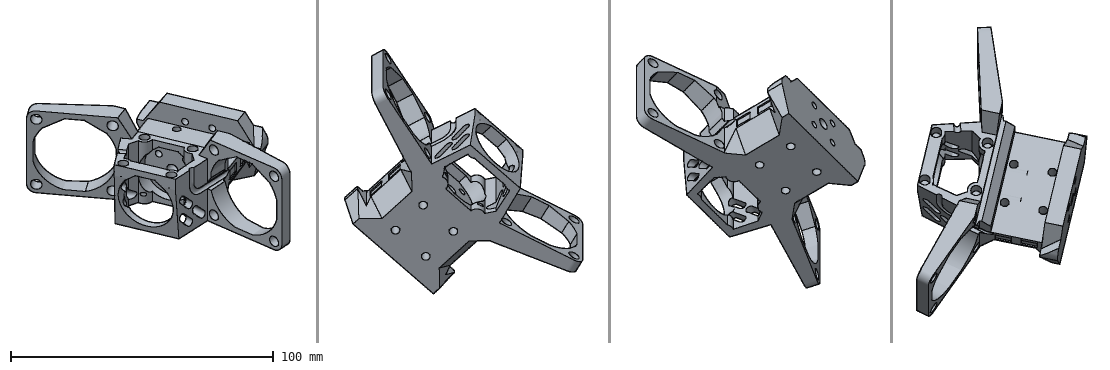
import cadquery as cq
import math


HALF_WIDTH = 54.5
FRONT_Y = -57.5
FAN_SIZE = 37.0

ARM_ANGLE = 15.0
ARM_TIP_THICKNESS = 5.0
ARM_ROOT_X = 13.9
ARM_SLANT_TOP_X = 19.2
FAN_CENTER_Y = -44.0
FAN_HOLE_PITCH = 29.4
FAN_HOLE_RADIUS = 2.2
FAN_BORE_RADIUS = 16.5
ARM_CUT_DEPTH = 13.1
FAN_BORE_FLAT = 16.0
FAN_BORE_ROOF_HALF = 3.8
FAN_BORE_ROOF_FOOT = 12.4

BASE_HALF = 21.1
BASE_TOP = 17.1
WALL_BACK_Y = -27.0
WALL_TOP = 26.0
WALL_CHAMFER_RISE = 3.3
WALL_CHAMFER_RUN = 3.5
SHOULDER_Y = -31.4
STEP_Y = -32.6
BASE_SCREW_X = 8.1
BASE_SCREW_BACK_Y = -9.5
BASE_SCREW_FRONT_Y = -24.5
BASE_SCREW_RADIUS = 1.6

UNDERCUT_TOP = 10.2
UNDERCUT_SLOPE = math.tan(math.radians(30))
UNDERCUT_BACK_Y = -9.5
UNDERCUT_FRONT_Y = -25.7
UNDERCUT_OVERRUN = 1.1

WINDOW_LENGTH = 6.3
WINDOW_HEIGHT = 4.0
WINDOW_DEPTH = 0.5
WINDOW_Z = 13.2
WINDOW_YS = (-12.1, -22.2)

PLATE_THICKNESS = 7.0
PLATE_HALF = 25.8
PLATE_TOP = 25.7
PLATE_TOP_HALF = 16.2
PLATE_SLOPE_FOOT = 23.1
PLATE_BOTTOM_HALF = 21.5
EAR_TOP = 20.6
EAR_FRONT_TOP = 15.6
EAR_TOP_HALF = 23.4
EAR_LOWER_BEVEL = (-25.3, 12.5)
EAR_SIDE_BOTTOM = 13.8
EAR_SIDE_TOP = 15.5
EAR_ARC_MID = (-25.5, 17.0)
EAR_ARC_END = (-24.7, 18.4)

BOX_TOP = 28.0
BOX_CORNER_X = 18.1
BOX_FRONT_HALF = 12.7
DRAFT_TOP = 23.0
DRAFT_DEPTH = 2.0
CAVITY_BACK_Y = -35.5
CAVITY_FRONT_Y = -52.5
CAVITY_FRONT_HALF = 11.0
CAVITY_BEVEL_START = (-11.3, -38.5)
CAVITY_BEVEL_END = (-13.6, -42.0)
BOX_SCREW_X = 10.0
BOX_SCREW_BACK_Y = -35.2
BOX_SCREW_FRONT_Y = -55.2
BOX_SCREW_RADIUS = 2.1
BOX_SCREW_TIP_RADIUS = 1.9
BOX_SCREW_DEPTH = 4.9
BOX_BOSS_RADIUS = 3.4

MOTOR_Z = 13.9
MOTOR_RADIUS = 11.4
MOTOR_ROOF_HEIGHT = 11.3
MOTOR_ROOF_HALF = 4.0
MOTOR_SEAT_Y = -31.7
SHAFT_RADIUS = 2.3
MOTOR_SCREW_OFFSET = 5.7
MOTOR_SCREW_RADIUS = 1.4
HEAD_RADIUS = 2.6
HEAD_CLEARANCE_Y = -18.7

VENT_WIDTH = 3.2
VENT_LENGTH = 9.4
VENT_ANGLE = 45.0
VENT_CENTERS = ((-51.5, 14.5), (-51.5, 6.5), (-44.3, 6.5))
VENT_DEPTH = 10.9
NOTCH_DEPTH = 3.9
GROOVE_RADIUS = 1.3
GROOVE_Y = -48.4
GROOVE_Z = 15.8
GROOVE_BEND = 5.4
GROOVE_OFFSET = 0.4
GROOVE_END_Y = -24.0
RELIEF_FRONT_Y = -41.4
RELIEF_TOP = 20.5
RELIEF_FOOT = 17.4
RELIEF_WIDTH = 3.8
RELIEF_RUN = 2.0

COS_ARM = math.cos(math.radians(ARM_ANGLE))
SIN_ARM = math.sin(math.radians(ARM_ANGLE))
FAN_CENTER_X = HALF_WIDTH - FAN_SIZE / 2 * COS_ARM - ARM_TIP_THICKNESS * SIN_ARM
FAN_CENTER_Z = FAN_SIZE / 2
CORNER_RADIUS = (FAN_SIZE - FAN_HOLE_PITCH) / 2
LONG = 108.9


def arm_front_y(x):
    """Y of an arm's front face at distance x from the middle."""
    return FAN_CENTER_Y + (FAN_CENTER_X - x) * SIN_ARM / COS_ARM


BOX_CORNER_Y = arm_front_y(BOX_CORNER_X)
SIDE_SLOPE = (BOX_CORNER_X - BOX_FRONT_HALF) / (BOX_CORNER_Y - FRONT_Y)
SIDE_ANGLE = math.atan(SIDE_SLOPE)


def box_side_x(y):
    """Half width between the flat sides of the motor box at a given Y."""
    return BOX_FRONT_HALF + (y - FRONT_Y) * SIDE_SLOPE


def mirrored(points):
    """Close a left-hand chain of points with its mirror image across X = 0."""
    return points + [(-x, y) for x, y in reversed(points)]


def both_sides(left):
    return left.union(left.mirror("YZ"))


def plan(points, bottom, top):
    """Prism with a plan outline between two heights."""
    return cq.Workplane("XY", (0, 0, bottom)).polyline(points).close().extrude(top - bottom)


def post(x, y, radius, bottom, top):
    return cq.Workplane("XY", (x, y, bottom)).circle(radius).extrude(top - bottom)


def rod(x, z, radius, front_y, back_y):
    """Cylinder along Y."""
    return cq.Workplane("XZ", (x, back_y, z)).circle(radius).extrude(back_y - front_y)


def back_plate():
    middle = cq.Workplane("XZ").polyline(
        mirrored(
            [
                (-PLATE_BOTTOM_HALF, 0),
                (-PLATE_SLOPE_FOOT, EAR_FRONT_TOP),
                (-PLATE_TOP_HALF, PLATE_TOP),
            ]
        )
    ).close().extrude(PLATE_THICKNESS)
    ear = (
        cq.Workplane("XZ")
        .moveTo(0, 0)
        .lineTo(-PLATE_BOTTOM_HALF, 0)
        .lineTo(*EAR_LOWER_BEVEL)
        .lineTo(-PLATE_HALF, EAR_SIDE_BOTTOM)
        .lineTo(-PLATE_HALF, EAR_SIDE_TOP)
        .threePointArc(EAR_ARC_MID, EAR_ARC_END)
        .lineTo(-EAR_TOP_HALF, EAR_TOP)
        .lineTo(0, EAR_TOP)
        .close()
        .extrude(PLATE_THICKNESS)
    )
    sloped_top = (
        cq.Workplane("YZ", (-PLATE_HALF, 0, 0))
        .polyline([(0, 0), (0, EAR_TOP), (-PLATE_THICKNESS, EAR_FRONT_TOP), (-PLATE_THICKNESS, 0)])
        .close()
        .extrude(PLATE_HALF)
    )
    return middle.union(both_sides(ear.intersect(sloped_top)))


def base_and_wall():
    profile = [
        (0, 0),
        (0, BASE_TOP),
        (WALL_BACK_Y, BASE_TOP),
        (WALL_BACK_Y, WALL_TOP - WALL_CHAMFER_RISE),
        (WALL_BACK_Y - WALL_CHAMFER_RUN, WALL_TOP),
        (STEP_Y, WALL_TOP),
        (STEP_Y, 0),
    ]
    return cq.Workplane("YZ", (-BASE_HALF, 0, 0)).polyline(profile).close().extrude(2 * BASE_HALF)


def side_undercut():
    """Left undercut: an overhanging inner face with 45 degree flares at both ends."""
    outer_x = -PLATE_HALF - UNDERCUT_OVERRUN

    def section(z):
        inner_x = -BASE_HALF + (UNDERCUT_TOP - z) * UNDERCUT_SLOPE
        flare = inner_x - outer_x
        return [
            (inner_x, UNDERCUT_BACK_Y),
            (inner_x, UNDERCUT_FRONT_Y),
            (outer_x, UNDERCUT_FRONT_Y - flare),
            (outer_x, UNDERCUT_BACK_Y + flare),
        ]

    return (
        cq.Workplane("XY")
        .polyline(section(0))
        .close()
        .workplane(offset=BASE_TOP)
        .polyline(section(BASE_TOP))
        .close()
        .loft(ruled=True)
    )


def side_windows():
    windows = cq.Workplane("XY")
    for y in WINDOW_YS:
        for side in (-1, 1):
            windows = windows.union(
                cq.Workplane("XY")
                .box(2 * WINDOW_DEPTH, WINDOW_LENGTH, WINDOW_HEIGHT)
                .translate((side * BASE_HALF, y, WINDOW_Z))
            )
    return windows


def fan_plane():
    """Plane of the left fan face, centred on the fan, normal pointing forward."""
    return cq.Plane(
        origin=(-FAN_CENTER_X, FAN_CENTER_Y, FAN_CENTER_Z),
        xDir=(COS_ARM, SIN_ARM, 0),
        normal=(SIN_ARM, -COS_ARM, 0),
    )


def fan_bore():
    flat = FAN_BORE_FLAT
    end = math.sqrt(FAN_BORE_RADIUS**2 - flat**2)
    foot = FAN_BORE_ROOF_FOOT
    foot_z = math.sqrt(FAN_BORE_RADIUS**2 - foot**2)
    upper = (math.atan2(foot_z, foot) + math.atan2(end, flat)) / 2
    lower = math.radians(-45)

    def on_circle(angle, side):
        return (side * FAN_BORE_RADIUS * math.cos(angle), FAN_BORE_RADIUS * math.sin(angle))

    return (
        cq.Workplane(fan_plane())
        .moveTo(-FAN_BORE_ROOF_HALF, flat)
        .lineTo(FAN_BORE_ROOF_HALF, flat)
        .lineTo(foot, foot_z)
        .threePointArc(on_circle(upper, 1), (flat, end))
        .lineTo(flat, -end)
        .threePointArc(on_circle(lower, 1), (end, -flat))
        .lineTo(-end, -flat)
        .threePointArc(on_circle(lower, -1), (-flat, -end))
        .lineTo(-flat, end)
        .threePointArc(on_circle(upper, -1), (-foot, foot_z))
        .close()
        .extrude(-ARM_CUT_DEPTH, both=True)
    )


def arm_body():
    tip_x = -FAN_CENTER_X - FAN_SIZE / 2 * COS_ARM
    tip_y = FAN_CENTER_Y - FAN_SIZE / 2 * SIN_ARM
    body = plan(
        [
            (-ARM_ROOT_X, SHOULDER_Y),
            (-BASE_HALF, SHOULDER_Y),
            (tip_x - ARM_TIP_THICKNESS * SIN_ARM, tip_y + ARM_TIP_THICKNESS * COS_ARM),
            (tip_x, tip_y),
            (-ARM_ROOT_X, arm_front_y(ARM_ROOT_X)),
        ],
        0,
        FAN_SIZE,
    )
    frame = (
        cq.Workplane(fan_plane())
        .rect(FAN_SIZE, FAN_SIZE)
        .extrude(LONG, both=True)
        .edges(cq.selectors.ParallelDirSelector(fan_plane().zDir))
        .fillet(CORNER_RADIUS)
    )
    inner = (
        cq.Workplane(fan_plane())
        .center(FAN_SIZE / 2, 0)
        .rect(FAN_SIZE, FAN_SIZE)
        .extrude(LONG, both=True)
    )
    slant = (
        cq.Workplane("XZ")
        .polyline([(-ARM_SLANT_TOP_X, FAN_SIZE), (-ARM_ROOT_X, BOX_TOP), (0, BOX_TOP), (0, FAN_SIZE)])
        .close()
        .extrude(LONG)
    )
    step = cq.Workplane("XY").box(LONG, 2 * -STEP_Y, LONG).translate((0, 0, WALL_TOP + LONG / 2))
    return body.intersect(frame.union(inner)).cut(slant).cut(step)


def arm_cuts():
    holes = (
        cq.Workplane(fan_plane())
        .rect(FAN_HOLE_PITCH, FAN_HOLE_PITCH, forConstruction=True)
        .vertices()
        .circle(FAN_HOLE_RADIUS)
        .extrude(-ARM_CUT_DEPTH)
    )
    return fan_bore().union(holes)


def box_body():
    body = plan(
        mirrored(
            [
                (-BOX_CORNER_X, STEP_Y),
                (-BOX_CORNER_X, BOX_CORNER_Y),
                (-BOX_FRONT_HALF, FRONT_Y),
            ]
        ),
        0,
        BOX_TOP,
    )
    draft = (
        cq.Workplane("YZ", (-BASE_HALF, 0, 0))
        .polyline([(FRONT_Y, DRAFT_TOP), (FRONT_Y, 0), (FRONT_Y + DRAFT_DEPTH, 0)])
        .close()
        .extrude(2 * BASE_HALF)
    )
    return body.cut(draft)


def box_screws():
    return [(side * BOX_SCREW_X, y) for side in (-1, 1) for y in (BOX_SCREW_BACK_Y, BOX_SCREW_FRONT_Y)]


def box_cavity():
    """Opening through the full height, leaving round bosses for the corner screws."""
    cavity = plan(
        mirrored(
            [
                (-BOX_SCREW_X, CAVITY_BACK_Y),
                CAVITY_BEVEL_START,
                CAVITY_BEVEL_END,
                (-CAVITY_FRONT_HALF, CAVITY_FRONT_Y),
            ]
        ),
        0,
        BOX_TOP,
    )
    for x, y in box_screws():
        cavity = cavity.cut(post(x, y, BOX_BOSS_RADIUS, 0, BOX_TOP))
    return cavity


def box_screw_holes():
    """Blind holes, slightly tapered."""
    holes = cq.Workplane("XY")
    for x, y in box_screws():
        cone = cq.Solid.makeCone(
            BOX_SCREW_TIP_RADIUS,
            BOX_SCREW_RADIUS,
            BOX_SCREW_DEPTH,
            pnt=cq.Vector(x, y, BOX_TOP - BOX_SCREW_DEPTH),
        )
        holes = holes.union(cq.Workplane(cone))
    return holes


def motor_bore():
    """Round bore with a flat roof; its sloped sides are tangent to the circle."""
    roof_reach = math.hypot(MOTOR_ROOF_HALF, MOTOR_ROOF_HEIGHT)
    angle = math.atan2(MOTOR_ROOF_HEIGHT, MOTOR_ROOF_HALF) - math.acos(MOTOR_RADIUS / roof_reach)
    tangent_x = MOTOR_RADIUS * math.cos(angle)
    tangent_z = MOTOR_RADIUS * math.sin(angle)
    return (
        cq.Workplane("XZ", (0, MOTOR_SEAT_Y, MOTOR_Z))
        .moveTo(-MOTOR_ROOF_HALF, MOTOR_ROOF_HEIGHT)
        .lineTo(MOTOR_ROOF_HALF, MOTOR_ROOF_HEIGHT)
        .lineTo(tangent_x, tangent_z)
        .threePointArc((0, -MOTOR_RADIUS), (-tangent_x, tangent_z))
        .close()
        .extrude(MOTOR_SEAT_Y - FRONT_Y)
    )


def motor_holes():
    """Shaft and screw holes through to the back, with head room over the base."""
    holes = rod(0, MOTOR_Z, SHAFT_RADIUS, FRONT_Y, 0)
    for side in (-1, 1):
        x = side * MOTOR_SCREW_OFFSET
        upper_z = MOTOR_Z + MOTOR_SCREW_OFFSET
        lower_z = MOTOR_Z - MOTOR_SCREW_OFFSET
        holes = holes.union(rod(x, upper_z, MOTOR_SCREW_RADIUS, CAVITY_BACK_Y, 0))
        holes = holes.union(rod(x, lower_z, MOTOR_SCREW_RADIUS, CAVITY_BACK_Y, 0))
        holes = holes.union(rod(x, upper_z, HEAD_RADIUS, WALL_BACK_Y, HEAD_CLEARANCE_Y))
    return holes


def base_screw_holes():
    holes = cq.Workplane("XY")
    for x in (-BASE_SCREW_X, BASE_SCREW_X):
        for y in (BASE_SCREW_BACK_Y, BASE_SCREW_FRONT_Y):
            holes = holes.union(post(x, y, BASE_SCREW_RADIUS, 0, BASE_TOP))
    return holes


def side_plane(y, z):
    """Plane on the left box side: local x runs forward, normal points outward."""
    return cq.Plane(
        origin=(-box_side_x(y), y, z),
        xDir=(math.sin(SIDE_ANGLE), -math.cos(SIDE_ANGLE), 0),
        normal=(-math.cos(SIDE_ANGLE), -math.sin(SIDE_ANGLE), 0),
    )


def vent_slots():
    slots = cq.Workplane("XY")
    for y, z in VENT_CENTERS:
        slots = slots.union(
            cq.Workplane(side_plane(y, z))
            .slot2D(VENT_LENGTH, VENT_WIDTH, VENT_ANGLE)
            .extrude(-VENT_DEPTH)
        )
    return slots


def wire_groove():
    """Groove down the box side, bending back along the side through the arm root."""
    run = (GROOVE_END_Y - GROOVE_Y) / math.cos(SIDE_ANGLE)
    rise = BOX_TOP - GROOVE_Z
    mid = GROOVE_BEND * (1 - math.sqrt(0.5))
    plane = side_plane(GROOVE_Y, GROOVE_Z)
    axis_plane = cq.Workplane(plane).workplane(offset=GROOVE_OFFSET)
    path = (
        axis_plane.moveTo(0, rise)
        .lineTo(0, GROOVE_BEND)
        .threePointArc((-mid, mid), (-GROOVE_BEND, 0))
        .lineTo(-run, 0)
    )
    start = plane.toWorldCoords((0, rise, GROOVE_OFFSET))
    return cq.Workplane("XY", start.toTuple()).circle(GROOVE_RADIUS).sweep(path)


def arm_relief():
    """Sloped opening between the wire groove and the fan bore."""
    section = cq.Plane(
        origin=side_plane(RELIEF_FRONT_Y, 0).origin.toTuple(),
        xDir=(-math.cos(SIDE_ANGLE), -math.sin(SIDE_ANGLE), 0),
        normal=(-math.sin(SIDE_ANGLE), math.cos(SIDE_ANGLE), 0),
    )
    length = (GROOVE_END_Y - RELIEF_FRONT_Y) / math.cos(SIDE_ANGLE)
    return (
        cq.Workplane(section)
        .polyline(
            [
                (0, GROOVE_Z - GROOVE_RADIUS),
                (0, RELIEF_FOOT),
                (RELIEF_RUN, RELIEF_TOP),
                (RELIEF_WIDTH, RELIEF_TOP),
                (RELIEF_WIDTH, GROOVE_Z - GROOVE_RADIUS),
            ]
        )
        .close()
        .extrude(length)
    )


def wire_notch():
    """Round notch across the top of the left box side only."""
    return cq.Workplane(side_plane(GROOVE_Y, BOX_TOP)).circle(GROOVE_RADIUS).extrude(-NOTCH_DEPTH)


result = (
    back_plate()
    .union(base_and_wall())
    .cut(both_sides(side_undercut()))
    .cut(side_windows())
    .union(both_sides(arm_body()))
    .union(box_body())
    .cut(both_sides(arm_cuts()))
    .cut(box_cavity())
    .cut(motor_bore())
    .cut(motor_holes())
    .cut(base_screw_holes())
    .cut(box_screw_holes())
    .cut(both_sides(vent_slots()))
    .cut(both_sides(wire_groove()))
    .cut(both_sides(arm_relief()))
    .cut(wire_notch())
    .solids()
)